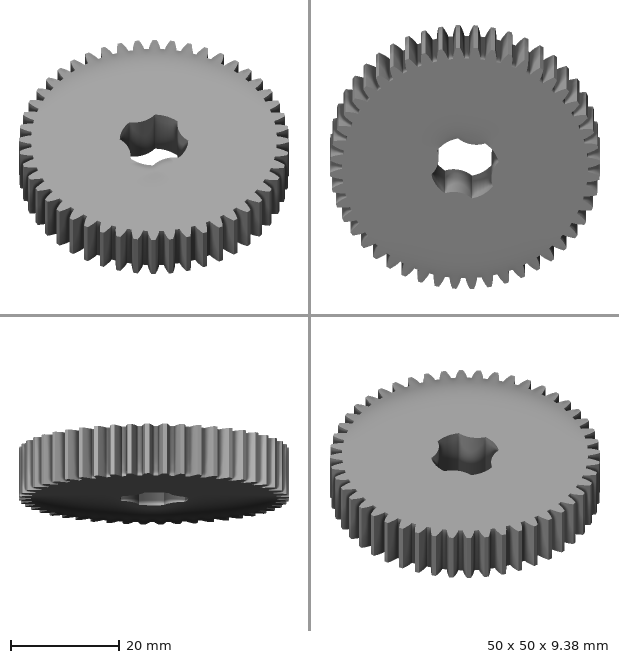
import cadquery as cq
import math

module = 1.0
tooth_count = 48
pressure_angle = math.radians(20)
dedendum_ratio = 1.25
face_width = 9.38
pitch_radius = module * tooth_count / 2
tip_radius = pitch_radius + module
root_radius = pitch_radius - dedendum_ratio * module
base_radius = pitch_radius * math.cos(pressure_angle)
tooth_pitch = 2 * math.pi / tooth_count
flank_points = 5

bore_radius = 6.35
lobe_count = 4
lobe_radius = 5.0
lobe_tip_radius = 5.1


def polar(radius, angle):
    """X and Y of a point given by its radius and angle."""
    return (radius * math.cos(angle), radius * math.sin(angle))


def involute(angle):
    """Involute function of a pressure angle."""
    return math.tan(angle) - angle


def half_tooth_angle(radius):
    """Angle from a tooth's centre line to its involute flank at a radius."""
    flank_angle = math.acos(base_radius / radius)
    return tooth_pitch / 4 + involute(pressure_angle) - involute(flank_angle)


def gear_blank():
    """Extruded gear with involute flanks; tips and roots are arcs about the axis."""
    step = (tip_radius - root_radius) / (flank_points - 1)
    radii = [root_radius + i * step for i in range(flank_points)]
    root_half = half_tooth_angle(root_radius)
    tip_half = half_tooth_angle(tip_radius)
    outline = cq.Workplane("XY").moveTo(*polar(root_radius, -root_half))
    for tooth in range(tooth_count):
        centre = tooth * tooth_pitch
        rising = [polar(r, centre - half_tooth_angle(r)) for r in radii]
        falling = [polar(r, centre + half_tooth_angle(r)) for r in reversed(radii)]
        next_root = centre + tooth_pitch - root_half
        outline = outline.spline(rising[1:], includeCurrent=True)
        outline = outline.threePointArc(polar(tip_radius, centre), polar(tip_radius, centre + tip_half))
        outline = outline.spline(falling[1:], includeCurrent=True)
        outline = outline.threePointArc(
            polar(root_radius, centre + tooth_pitch / 2), polar(root_radius, next_root)
        )
    return outline.close().extrude(face_width)


def splined_bore():
    """Solid that fills the bore: a cylinder with a round flute for each lobe."""
    flutes = (
        cq.Workplane("XY")
        .polarArray(lobe_tip_radius + lobe_radius, 0, 360, lobe_count)
        .circle(lobe_radius)
        .extrude(face_width)
    )
    return cq.Workplane("XY").circle(bore_radius).extrude(face_width).cut(flutes)


result = gear_blank().cut(splined_bore())